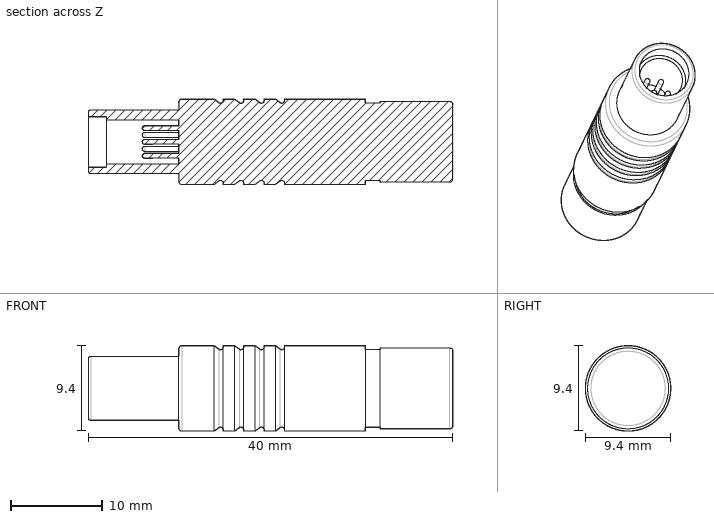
import cadquery as cq
import math


tube_end = 9.9
body_end = 30.4
neck_end = 32.0
total_length = 40.0

tube_radius = 3.5
body_diameter = 9.4
body_radius = body_diameter / 2
neck_radius = 4.3
rear_radius = 4.45

tube_fillet = 0.3
body_fillet = 0.35
rear_fillet = 0.35

groove_count = 4
groove_pitch = 2.25
first_groove_wall = 14.8
groove_depth = 0.45
groove_bottom_radius = 0.3
groove_slope = math.radians(37)

mouth_radius = 2.75
mouth_depth = 2.0
bore_radius = 2.4
bore_depth = tube_end

pin_radius = 0.3
pin_length = 4.0
pin_circle_radius = 1.5
ring_pin_count = 6


def cylinder(start, end, radius):
    """Cylinder on the X axis between two stations."""
    return cq.Workplane("YZ", origin=(start, 0, 0)).circle(radius).extrude(end - start)


def make_outside():
    """Tube, grip body, neck and rear barrel with their rounded front and rear edges."""
    tube = cylinder(0, tube_end, tube_radius).faces("<X").edges().fillet(tube_fillet)
    body = cylinder(tube_end, body_end, body_radius).faces("<X").edges().fillet(body_fillet)
    neck = cylinder(body_end, neck_end, neck_radius)
    rear = cylinder(neck_end, total_length, rear_radius).faces(">X").edges().fillet(rear_fillet)
    return tube.union(body).union(neck).union(rear)


def make_groove(wall):
    """Ring of material removed in front of the square wall at station `wall`."""
    bottom = body_radius - groove_depth
    arc_center_x = wall - groove_bottom_radius
    arc_center_r = bottom + groove_bottom_radius

    def arc_point(angle):
        """Point on the groove bottom, at an angle measured forward from its lowest point."""
        return (
            arc_center_x - groove_bottom_radius * math.sin(angle),
            arc_center_r - groove_bottom_radius * math.cos(angle),
        )

    flank_foot = arc_point(groove_slope)
    flank_run = (body_radius - flank_foot[1]) / math.tan(groove_slope)
    return (
        cq.Workplane("XY")
        .moveTo(wall, body_radius)
        .lineTo(wall, arc_center_r)
        .threePointArc(arc_point(0), flank_foot)
        .lineTo(flank_foot[0] - flank_run, body_radius)
        .close()
        .revolve(360, (0, 0, 0), (1, 0, 0))
    )


def make_pin(y, z):
    """Contact pin standing on the socket floor, with a hemispherical tip facing -X."""
    root = bore_depth + pin_radius
    dome_center = bore_depth - pin_length + pin_radius
    shank = cylinder(dome_center, root, pin_radius).translate((0, y, z))
    dome = cq.Workplane("XY").sphere(pin_radius).translate((dome_center, y, z))
    return shank.union(dome)


result = make_outside()

for index in range(groove_count):
    result = result.cut(make_groove(first_groove_wall + index * groove_pitch))

result = result.cut(cylinder(0, mouth_depth, mouth_radius))
result = result.cut(cylinder(0, bore_depth, bore_radius))

result = result.union(make_pin(0, 0))
for index in range(ring_pin_count):
    angle = 2 * math.pi * index / ring_pin_count
    pin_y = pin_circle_radius * math.cos(angle)
    pin_z = pin_circle_radius * math.sin(angle)
    result = result.union(make_pin(pin_y, pin_z))